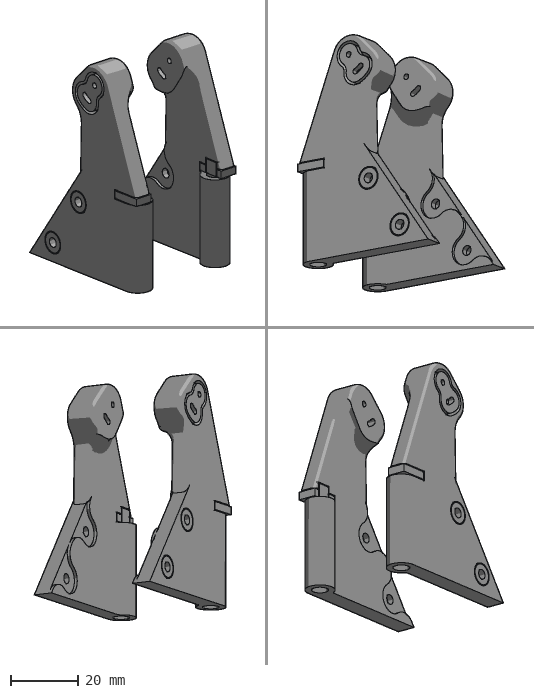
import cadquery as cq
import math

total_length = 47.37
total_height = 67.89
half_span = 20.0
plate_thickness = 6.0
head_thickness = 10.0
edge_fillet = 1.5
clearance = 0.3

tolerance = 0.01
oversize = 200.0

plate_face = half_span - plate_thickness
head_face = half_span - head_thickness

tip = (0.0, 0.0)
neck_foot = (21.6, 30.9)
plate_right = 47.2
head_radius = 6.3
head_top = (28.75, total_height - head_radius)
head_low = (24.35, 57.2)
neck_radius = 7.1
neck_turn = math.radians(45)

tube_radius = 4.5
tube_bore = 4.98
tube_height = 28.0
tube_x = total_length - tube_radius
tube_y = half_span - tube_radius
tube_blend = 1.0

slot_height = 3.0
slot_top = tube_height + slot_height
slot_left = 37.6
pocket_diameter = 5.8
pocket_top = 33.1

screw_hole = 3.0
counterbore = 6.99
counterbore_depth = 3.0
edge_distance = 4.9
screw_stations = (10.95, 30.7)
relief_depth = 1.0
relief_radius = 4.6
relief_half_length = 9.3

pivot_hole = 1.67
horn_radius = 4.15
horn_depth = 2.0
horn_floor_inset = 0.85
horn_waist = 2.0
horn_reach = 6.1
horn_angle = math.radians(235.5)
horn_swing = math.radians(11)

boss_low = (25.7, 57.1)
boss_flare = 5.0

wedge_overlap = 4.0


def polar(center, radius, angle):
    return (center[0] + radius * math.cos(angle), center[1] + radius * math.sin(angle))


def direction(start, end):
    return math.atan2(end[1] - start[1], end[0] - start[0])


def tangent_angle(center, radius, point, side):
    """Angle on a circle where the line to an outside point touches it."""
    distance = math.dist(center, point)
    return direction(center, point) + side * math.acos(radius / distance)


def sketch(y):
    """Workplane facing the -Y side; extruding it moves away from the middle plane."""
    return cq.Workplane("XZ", origin=(0, -y, 0))


def upper_outline(y):
    right_corner = (plate_right, slot_top)
    slope_angle = tangent_angle(head_top, head_radius, right_corner, 1)
    back_angle = direction(head_low, head_top) + math.pi / 2
    left_angle = (back_angle + math.pi + neck_turn) / 2
    low_angle = math.pi + neck_turn
    neck_center = polar(head_low, head_radius + neck_radius, low_angle)
    neck_end = tangent_angle(neck_center, neck_radius, neck_foot, 1)
    neck_mid = (neck_turn + neck_end) / 2
    neck_top = polar(neck_center, neck_radius, neck_end)
    run = (neck_foot[0] - neck_top[0]) / (neck_foot[1] - neck_top[1])
    neck_bottom = (neck_foot[0] + run * (tube_height - neck_foot[1]), tube_height)
    return (
        sketch(y)
        .moveTo(plate_right, tube_height)
        .lineTo(*right_corner)
        .lineTo(*polar(head_top, head_radius, slope_angle))
        .threePointArc(
            polar(head_top, head_radius, (slope_angle + back_angle) / 2),
            polar(head_top, head_radius, back_angle),
        )
        .lineTo(*polar(head_low, head_radius, back_angle))
        .threePointArc(
            polar(head_low, head_radius, left_angle),
            polar(head_low, head_radius, low_angle),
        )
        .threePointArc(polar(neck_center, neck_radius, neck_mid), neck_top)
        .lineTo(*neck_bottom)
        .close()
    )


def slope_wedge():
    """Lower part of the plate, under the sloping edge."""
    slope = direction(tip, neck_foot)
    cap = polar(neck_foot, wedge_overlap, slope)
    return (
        sketch(plate_face)
        .polyline([tip, (tube_x, 0), (tube_x, tube_height), cap])
        .close()
        .extrude(plate_thickness)
    )


def head_boss():
    """Thick head whose lower side flares into the plate with a concave arc."""
    base = sketch(plate_face).rect(oversize, oversize).extrude(plate_thickness)
    boss = (
        sketch(plate_face)
        .polyline([head_top, head_low, boss_low])
        .close()
        .offset2D(head_radius)
        .extrude(-2 * boss_flare)
    )
    foot = cq.selectors.BoxSelector(
        (tip[0], -plate_face - tolerance, tip[1]),
        (plate_right, -plate_face + tolerance, oversize),
    )
    flared = base.union(boss).edges(foot).fillet(boss_flare)
    return flared.intersect(upper_outline(head_face).extrude(head_thickness))


def upper_body():
    """Upper plate and head, rounded along the outline on both sides."""
    body = upper_outline(plate_face).extrude(plate_thickness).union(head_boss())
    rim = []
    for face in body.faces().vals():
        center = face.Center()
        is_wall = abs(face.normalAt().y) < tolerance
        is_joint = center.z < tube_height + tolerance or center.x > plate_right - tolerance
        if is_wall and not is_joint:
            rim += [edge for edge in face.Edges() if abs(edge.tangentAt(0.5).y) < 1 - tolerance]
    return body.newObject(rim).fillet(edge_fillet)


def hinge_tube():
    """Tube with a concave blend on the side where it leaves the inner face."""
    tube = cq.Workplane().center(tube_x, -tube_y).circle(tube_radius).extrude(tube_height)
    reach = tube_radius + tube_blend
    blend_y = -plate_face + tube_blend
    rise = blend_y + tube_y
    blend_x = tube_x - math.sqrt(reach**2 - rise**2)
    touch = polar((tube_x, -tube_y), tube_radius, direction((tube_x, -tube_y), (blend_x, blend_y)))
    web = (
        cq.Workplane()
        .polyline([(blend_x, -plate_face), (blend_x, blend_y), touch, (tube_x, -tube_y)])
        .close()
        .extrude(tube_height)
        .cut(cq.Workplane().center(blend_x, blend_y).circle(tube_blend).extrude(tube_height))
    )
    return tube.union(web)


def tube_cylinder(diameter, bottom, top):
    return (
        cq.Workplane(origin=(tube_x, -tube_y, bottom)).circle(diameter / 2).extrude(top - bottom)
    )


def slot_block(gap):
    """Block above the tube, set back by a gap from the slot walls."""
    length = plate_right - slot_left - gap
    height = slot_height - 2 * gap
    return (
        sketch(plate_face)
        .moveTo(slot_left + gap + length / 2, tube_height + slot_height / 2)
        .rect(length, height)
        .extrude(plate_thickness)
    )


def screw_centers():
    slope = direction(tip, neck_foot)
    return [
        polar(polar(tip, station, slope), edge_distance, slope - math.pi / 2)
        for station in screw_stations
    ]


def screw_relief(station):
    """Shallow relief round a screw hole, running out along the sloping edge in two arcs."""
    slope = direction(tip, neck_foot)
    foot = polar(tip, station, slope)
    flare = (
        (relief_half_length**2 + edge_distance**2 - relief_radius**2)
        / (2 * (relief_radius + edge_distance))
    )
    flare_center = (relief_half_length, flare)
    hole = (0.0, edge_distance)
    meeting = polar(hole, relief_radius, direction(hole, flare_center))
    bend = (direction(flare_center, hole) - math.pi / 2) / 2
    flare_mid = polar(flare_center, flare, -math.pi / 2 + bend - math.pi / 2)
    inward = cq.Plane(
        origin=(foot[0], -plate_face, foot[1]),
        xDir=(math.cos(slope), 0, math.sin(slope)),
        normal=(0, 1, 0),
    )
    return (
        cq.Workplane(inward)
        .moveTo(-relief_half_length, 0)
        .threePointArc((-flare_mid[0], flare_mid[1]), (-meeting[0], meeting[1]))
        .threePointArc((0, edge_distance + relief_radius), meeting)
        .threePointArc(flare_mid, (relief_half_length, 0))
        .close()
        .extrude(-relief_depth)
    )


def horn_arc(radius):
    """Outline of a round-ended slot bent round the pivot hole, at the outer face."""
    start = horn_angle - horn_swing
    end = horn_angle + horn_swing
    outer = horn_reach + radius
    inner = horn_reach - radius
    return (
        sketch(half_span)
        .moveTo(*polar(head_top, outer, start))
        .threePointArc(polar(head_top, outer, horn_angle), polar(head_top, outer, end))
        .threePointArc(
            polar(polar(head_top, horn_reach, end), radius, end + math.pi / 2),
            polar(head_top, inner, end),
        )
        .threePointArc(polar(head_top, inner, horn_angle), polar(head_top, inner, start))
        .threePointArc(
            polar(polar(head_top, horn_reach, start), radius, start - math.pi / 2),
            polar(head_top, outer, start),
        )
        .close()
    )


def horn_lobes(height):
    """Prism of the two joined lobes, with a rounded waist, inward from the outer face."""
    pivot_lobe = sketch(half_span).moveTo(*head_top).circle(horn_radius).extrude(-height)
    lobes = horn_arc(horn_radius).extrude(-height).union(pivot_lobe)
    waist = []
    for edge in lobes.edges("|Y").vals():
        center = edge.Center()
        if abs(math.dist((center.x, center.z), head_top) - horn_radius) < tolerance:
            waist.append(edge)
    return lobes.newObject(waist).fillet(horn_waist)


def horn_recess():
    """Recess with a sloping wall that narrows from the outer face down to the floor."""
    cutter = horn_lobes(2 * horn_depth)
    cutter = cutter.faces(">Y").edges().chamfer(horn_depth, horn_floor_inset)
    return cutter.translate((0, -horn_depth, 0))


def horn_holes():
    pivot = sketch(half_span).moveTo(*head_top).circle(pivot_hole / 2).extrude(-head_thickness)
    return horn_arc(pivot_hole / 2).extrude(-head_thickness).union(pivot)


def bracket():
    body = slope_wedge().union(upper_body()).union(hinge_tube())
    body = body.cut(tube_cylinder(tube_bore, 0, tube_height))
    body = body.cut(slot_block(0))
    body = body.cut(tube_cylinder(pocket_diameter, tube_height, pocket_top))
    for station in screw_stations:
        body = body.cut(screw_relief(station))
    screws = sketch(plate_face).pushPoints(screw_centers())
    body = body.cut(screws.circle(screw_hole / 2).extrude(plate_thickness))
    seats = sketch(half_span).pushPoints(screw_centers())
    body = body.cut(seats.circle(counterbore / 2).extrude(-counterbore_depth))
    return body.cut(horn_recess()).cut(horn_holes())


def screw_bushing(center):
    """Loose ring in a counterbore, flush with the outer face."""
    ring = sketch(half_span).moveTo(*center).circle(counterbore / 2 - clearance)
    return ring.moveTo(*center).circle(screw_hole / 2).extrude(-counterbore_depth)


def horn_insert():
    """Loose two-lobed plate on the floor of the horn recess, flush with the outer face."""
    floor = horn_recess().faces(">Y").wires().val()
    plate = cq.Solid.extrudeLinear(floor, [], cq.Vector(0, -horn_depth, 0))
    return cq.Workplane(plate).cut(horn_holes())


def slot_insert():
    """Loose bar in the slot and round plug above it, parted on the side of the inner face."""
    inner_half = sketch(plate_face).rect(oversize, oversize).extrude(tube_y - plate_face)
    groove = tube_cylinder(pocket_diameter, tube_height, pocket_top).intersect(inner_half)
    plug = tube_cylinder(
        pocket_diameter - 2 * clearance, tube_height + clearance, pocket_top - clearance
    )
    plug = plug.intersect(upper_outline(plate_face).extrude(plate_thickness))
    return slot_block(clearance).cut(groove).union(plug)


near_side = [bracket(), slot_insert(), horn_insert()]
for screw_center in screw_centers():
    near_side.append(screw_bushing(screw_center))

bodies = []
for body in near_side:
    solid = body.solids().val()
    bodies.append(solid)
    bodies.append(solid.mirror("XZ"))

result = cq.Compound.makeCompound(bodies)